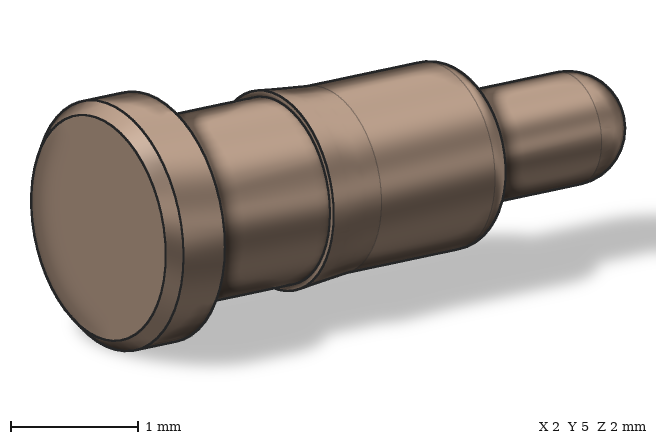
import cadquery as cq

total_length = 5.0

flange_diameter = 2.0
flange_thickness = 0.5
flange_chamfer = 0.1

barrel_diameter = 1.5
barrel_end = 3.5
barrel_fillet = 0.2

barb_diameter = 1.6
barb_start = 1.7
barb_length = 0.5

plunger_diameter = 0.9


def cylinder_along_y(diameter, start, end):
    """Solid cylinder on the Y axis between two Y positions."""
    base = cq.Workplane("XZ", origin=(0, start, 0))
    return base.circle(diameter / 2).extrude(start - end)


flange = cylinder_along_y(flange_diameter, 0, flange_thickness)
flange = flange.faces("<Y").chamfer(flange_chamfer)

barrel = cylinder_along_y(barrel_diameter, 0, barrel_end)
barrel = barrel.faces(">Y").edges().fillet(barrel_fillet)

barb = (
    cq.Workplane("XY")
    .moveTo(0, barb_start)
    .lineTo(barb_diameter / 2, barb_start)
    .lineTo(barrel_diameter / 2, barb_start + barb_length)
    .lineTo(0, barb_start + barb_length)
    .close()
    .revolve(360, (0, 0, 0), (0, 1, 0))
)

tip_radius = plunger_diameter / 2
tip_center = total_length - tip_radius
plunger = cylinder_along_y(plunger_diameter, flange_thickness, tip_center)
tip = cq.Workplane("XY", origin=(0, tip_center, 0)).sphere(tip_radius)

result = flange.union(barrel).union(barb).union(plunger).union(tip)